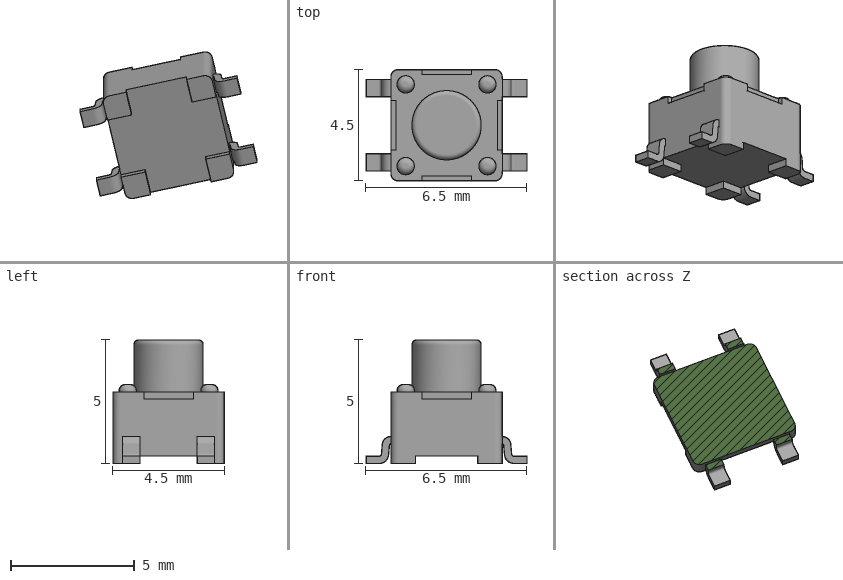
import cadquery as cq
import math

housing_side = 4.5
corner_radius = 0.3
cover_thickness = 0.3
cover_top = 2.9
cover_bottom = cover_top - cover_thickness
cover_overlap = 0.01
base_top = cover_bottom + cover_overlap
half_side = housing_side / 2

foot_size = 1.0
foot_height = 0.3
notch_width = 2.0
notch_depth = 0.2

button_diameter = 2.8
button_top = 5.0
button_edge_radius = 0.2

rivet_diameter = 0.7
rivet_height = 0.3
rivet_edge_radius = 0.25
rivet_spacing = 3.3

lead_span = 6.5
lead_width = 0.7
lead_spacing = 3.0
lead_thickness = 0.3
lead_top = 1.1
lead_embed = 0.2
lead_slant = math.radians(5)
upper_inner_radius = 0.05
lower_inner_radius = 0.1
upper_outer_radius = upper_inner_radius + lead_thickness
lower_outer_radius = lower_inner_radius + lead_thickness


def square_block(bottom, height):
    """Block with the housing's square outline and rounded vertical corners."""
    plane = cq.Workplane("XY").workplane(offset=bottom)
    block = plane.rect(housing_side, housing_side).extrude(height)
    return block.edges("|Z").fillet(corner_radius)


def make_base():
    """Base standing on four square corner feet."""
    base = square_block(0, base_top)
    gap = housing_side - 2 * foot_size
    for length, width in ((housing_side, gap), (gap, housing_side)):
        channel = cq.Workplane("XY").rect(length, width).extrude(foot_height)
        base = base.cut(channel)
    return base


def make_cover():
    """Cover plate with a shallow notch in the middle of each edge."""
    cover = square_block(cover_bottom, cover_thickness)
    notch = (
        cq.Workplane("XY")
        .workplane(offset=cover_bottom)
        .center(half_side - notch_depth / 2, 0)
        .rect(notch_depth, notch_width)
        .extrude(cover_thickness)
    )
    for quarter in range(4):
        cover = cover.cut(notch.rotate((0, 0, 0), (0, 0, 1), 90 * quarter))
    return cover


def make_button():
    """Round push button with a rounded top edge."""
    button = (
        cq.Workplane("XY")
        .workplane(offset=base_top)
        .circle(button_diameter / 2)
        .extrude(button_top - base_top)
    )
    return button.faces(">Z").edges().fillet(button_edge_radius)


def make_rivets():
    """Four domed rivet heads."""
    rivets = (
        cq.Workplane("XY")
        .workplane(offset=cover_top)
        .rect(rivet_spacing, rivet_spacing, forConstruction=True)
        .vertices()
        .circle(rivet_diameter / 2)
        .extrude(rivet_height)
    )
    return rivets.faces(">Z").edges().fillet(rivet_edge_radius)


def point_on(center, radius, angle):
    """Point at the given angle on a circle in the XZ plane."""
    return (center[0] + radius * math.cos(angle), center[1] + radius * math.sin(angle))


def make_lead():
    """One lead on the +X side, centred on Y = 0."""
    upper = (half_side, lead_top - upper_outer_radius)
    drop = upper[1] - lower_outer_radius
    bend_offset = upper_outer_radius + lower_inner_radius + drop * math.sin(lead_slant)
    lower = (upper[0] + bend_offset / math.cos(lead_slant), lower_outer_radius)

    up = math.pi / 2
    upper_end = lead_slant
    upper_mid = (up + upper_end) / 2
    down = 3 * math.pi / 2
    lower_start = math.pi + lead_slant
    lower_mid = (lower_start + down) / 2

    profile = (
        cq.Workplane("XZ")
        .moveTo(half_side - lead_embed, lead_top)
        .lineTo(*point_on(upper, upper_outer_radius, up))
        .threePointArc(
            point_on(upper, upper_outer_radius, upper_mid),
            point_on(upper, upper_outer_radius, upper_end),
        )
        .lineTo(*point_on(lower, lower_inner_radius, lower_start))
        .threePointArc(
            point_on(lower, lower_inner_radius, lower_mid),
            point_on(lower, lower_inner_radius, down),
        )
        .lineTo(lead_span / 2, lead_thickness)
        .lineTo(lead_span / 2, 0)
        .lineTo(*point_on(lower, lower_outer_radius, down))
        .threePointArc(
            point_on(lower, lower_outer_radius, lower_mid),
            point_on(lower, lower_outer_radius, lower_start),
        )
        .lineTo(*point_on(upper, upper_inner_radius, upper_end))
        .threePointArc(
            point_on(upper, upper_inner_radius, upper_mid),
            point_on(upper, upper_inner_radius, up),
        )
        .lineTo(half_side - lead_embed, lead_top - lead_thickness)
        .close()
    )
    return profile.extrude(lead_width / 2, both=True)


def make_leads():
    """List of four leads, two on each X side."""
    lead = make_lead()
    leads = []
    for y in (-lead_spacing / 2, lead_spacing / 2):
        right_lead = lead.translate((0, y, 0))
        leads.append(right_lead)
        leads.append(right_lead.mirror("YZ"))
    return leads


result = make_base()
for body in [make_cover(), make_button(), make_rivets(), *make_leads()]:
    result = result.union(body, clean=False)